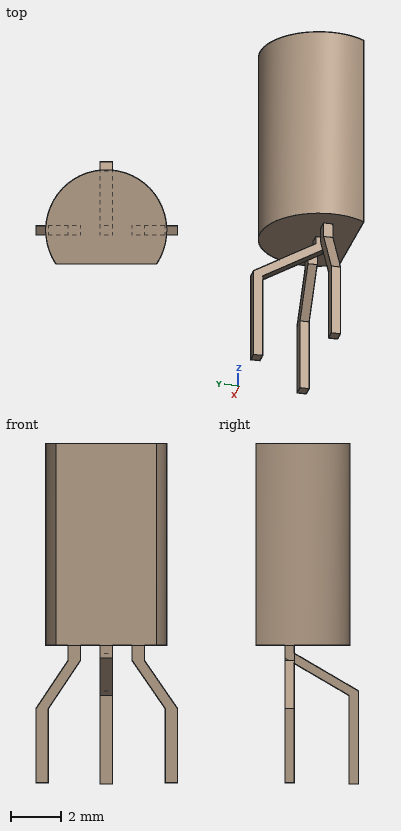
import cadquery as cq

overall_height = 13.5
lead_length = 5.5
body_height = overall_height - lead_length
body_radius = 2.4
flat_distance = 1.34

lead_width = 0.5
lead_thickness = 0.38

side_lead_length = 5.44
side_root_offset = 1.27
left_foot_offset = 2.54
right_foot_offset = 2.58
side_upper_bend = 0.6
side_lower_bend = 2.5

middle_foot_offset = 2.54
middle_back_bend = 0.31
middle_front_bend = 0.5
middle_bend_drop = 1.48


def make_body():
    cylinder = cq.Workplane("XY").circle(body_radius).extrude(body_height)
    kept_depth = flat_distance + body_radius
    keep = cq.Workplane("XY").box(
        2 * body_radius, kept_depth, body_height, centered=(True, False, False)
    )
    return cylinder.intersect(keep.translate((0, -flat_distance, 0)))


def make_side_lead(direction, foot_offset):
    """Lead on the left (direction -1) or right (direction 1) of the body."""
    half_width = lead_width / 2
    root_inner = direction * (side_root_offset - half_width)
    root_outer = direction * (side_root_offset + half_width)
    foot_inner = direction * (foot_offset - half_width)
    foot_outer = direction * (foot_offset + half_width)
    outline = [
        (root_inner, 0),
        (root_inner, -side_upper_bend),
        (foot_inner, -side_lower_bend),
        (foot_inner, -side_lead_length),
        (foot_outer, -side_lead_length),
        (foot_outer, -side_lower_bend),
        (root_outer, -side_upper_bend),
        (root_outer, 0),
    ]
    return cq.Workplane("XZ").polyline(outline).close().extrude(lead_thickness / 2, both=True)


def make_middle_lead():
    front = -lead_thickness / 2
    back = lead_thickness / 2
    outline = [
        (front, 0),
        (front, -middle_front_bend),
        (front + middle_foot_offset, -middle_front_bend - middle_bend_drop),
        (front + middle_foot_offset, -lead_length),
        (back + middle_foot_offset, -lead_length),
        (back + middle_foot_offset, -middle_back_bend - middle_bend_drop),
        (back, -middle_back_bend),
        (back, 0),
    ]
    return cq.Workplane("YZ").polyline(outline).close().extrude(lead_width / 2, both=True)


result = (
    make_body()
    .union(make_side_lead(-1, left_foot_offset))
    .union(make_side_lead(1, right_foot_offset))
    .union(make_middle_lead())
)